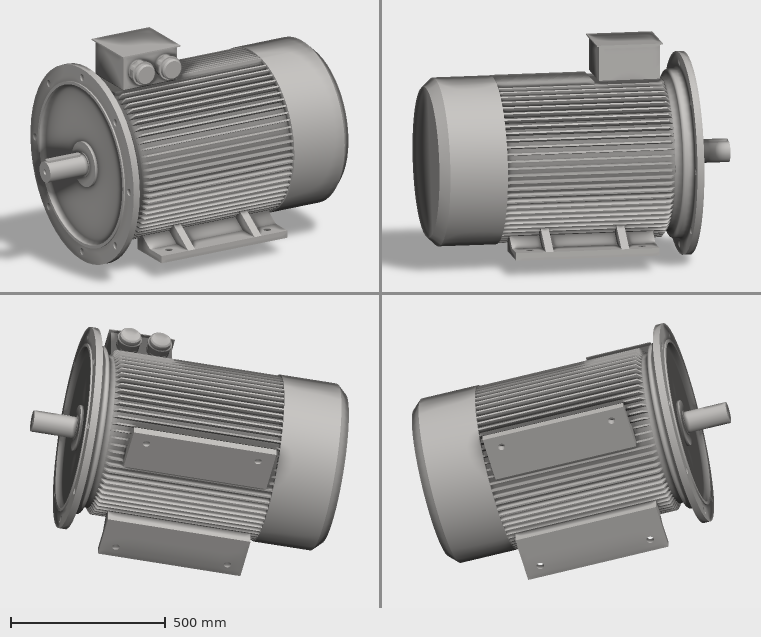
import cadquery as cq
import math

LENGTH = 995.0
OVERALL_HEIGHT = 714.0

SHAFT_DIA = 70.0
SHAFT_HOLE_DIA = 17.0
SHAFT_HOLE_DEPTH = 30.0
KEY_WIDTH = 22.0
KEY_TOP_Z = 41.0
KEY_FRONT_Y = 3.0
KEY_REAR_Y = 132.0

SPIGOT_Y = 134.0
FLANGE_FRONT_Y = 139.0
FLANGE_REAR_Y = 162.0
BELL_REAR_Y = 198.0
SPIGOT_DIA = 550.0
BELL_DIA = 550.0
BELL_REAR_FILLET = 9.0
BELL_ROOT_FILLET = 8.0
NECK_DIA = 500.0
NECK_FILLET = 12.0
FLANGE_DIA = 660.0
FLANGE_HOLE_DIA = 24.0
FLANGE_HOLE_CIRCLE_DIA = 600.0
FLANGE_HOLE_COUNT = 8
RECESS_DIA = 530.0
RECESS_DEPTH = 20.0
RECESS_FILLET = 11.0
HUB_DIA = 150.0
HUB_HEIGHT = 10.0
SHAFT_COLLAR_DIA = 80.0
SHAFT_COLLAR_HEIGHT = 3.0

CORE_DIA = 497.5
FRAME_FRONT_Y = 221.0
FIN_TIP_DIA = 539.0
FIN_WIDTH = 6.0
FIN_ROOT_DEPTH = 10.0
FIN_PITCH_ANGLE = 5
FIRST_FIN_ANGLE = 20
FIN_FRONT_BEVEL = 15.0

PAD_WIDTH = 131.0
PAD_TOP_Z = 252.0
PAD_BURIED_DEPTH = 20.0
PAD_FRONT_Y = 225.0
TOP_FIN_PITCH = 15.0
TOP_FIN_COUNT = 9
TOP_FIN_Z = 268.0
TOP_FIN_FRONT_Y = 453.0
TOP_FIN_BEVEL = 9.0

COWL_DIA = 547.0
COWL_FRONT_Y = 775.0
COWL_OVERLAP = 10.0
COWL_BEVEL_LENGTH = 31.0
COWL_BEVEL_DEPTH = 29.0
FRAME_REAR_Y = COWL_FRONT_Y + COWL_OVERLAP

BOX_CENTER_Y = 342.0
BOX_WIDTH = 179.0
BOX_LENGTH = 201.0
BOX_BOTTOM_Z = 262.0
BOX_BEVEL = 5.0
LID_WIDTH = 199.0
LID_LENGTH = 217.0
LID_TOP_Z = OVERALL_HEIGHT - FLANGE_DIA / 2
LID_THICKNESS = 4.0
BOX_NECK_WIDTH = 109.0
BOX_NECK_LENGTH = 131.0

GLAND_CENTERS_Y = (296.0, 395.0)
GLAND_Z = 325.0
GLAND_NUT_DIA = 75.0
GLAND_NUT_FLATS = 70.0
GLAND_COLLAR_END_X = 99.0
GLAND_NUT_END_X = 122.0
GLAND_WASHER_DIA = 80.0
GLAND_WASHER_END_X = 126.0
GLAND_CAP_DIA = 70.0
GLAND_CAP_END_X = 145.0
GLAND_CAP_BEVEL = 5.0

FOOT_OUTER_X = 275.0
FOOT_INNER_X = 119.0
FOOT_FRONT_Y = 277.0
FOOT_REAR_Y = 748.0
FOOT_BOTTOM_Z = -279.0
FOOT_PLATE_THICKNESS = 25.0
FOOT_WEB_X = 200.0
FOOT_SLOPE = 0.63
FOOT_HOLE_X = 234.0
FOOT_HOLE_YS = (327.0, 696.5)
FOOT_HOLE_DIA = 24.0
GUSSET_THICKNESS = 26.0
GUSSET_CENTERS_Y = (389.0, 638.0)


def cylinder_y(diameter, y_start, y_end):
    """Cylinder on the shaft axis."""
    return cq.Workplane("XZ", origin=(0, y_start, 0)).circle(diameter / 2).extrude(y_start - y_end)


def cylinder_x(diameter, x_start, x_end):
    """Cylinder on the X axis."""
    return cq.Workplane("YZ", origin=(x_start, 0, 0)).circle(diameter / 2).extrude(x_end - x_start)


def block(x_range, y_range, z_range):
    """Axis-aligned box between the given limits."""
    size = [end - start for start, end in (x_range, y_range, z_range)]
    corner = (x_range[0], y_range[0], z_range[0])
    return cq.Workplane("XY", origin=corner).box(*size, centered=False)


def centered_block(width, length, z_bottom, z_top):
    """Box centred over the terminal box position."""
    half_width = width / 2
    y_range = (BOX_CENTER_Y - length / 2, BOX_CENTER_Y + length / 2)
    return block((-half_width, half_width), y_range, (z_bottom, z_top))


def make_shaft():
    shaft = cylinder_y(SHAFT_DIA, 0, FLANGE_REAR_Y)
    shaft = shaft.cut(cylinder_y(SHAFT_HOLE_DIA, 0, SHAFT_HOLE_DEPTH))
    key = (
        cq.Workplane("XY", origin=(0, (KEY_FRONT_Y + KEY_REAR_Y) / 2, SHAFT_DIA / 4))
        .slot2D(KEY_REAR_Y - KEY_FRONT_Y, KEY_WIDTH, 90)
        .extrude(KEY_TOP_Z - SHAFT_DIA / 4)
    )
    return shaft.union(key)


def fillet_arc(outline, center, radius, start_angle, end_angle):
    """Append an arc to an outline that already ends at the arc's start (angles in degrees)."""

    def at(angle):
        turn = math.radians(angle)
        return (center[0] + radius * math.cos(turn), center[1] + radius * math.sin(turn))

    return outline.threePointArc(at((start_angle + end_angle) / 2), at(end_angle))


def make_body():
    """Round body in one turn: end shield, plain core and fan cowl."""
    bell_r = BELL_DIA / 2
    neck_r = NECK_DIA / 2
    core_r = CORE_DIA / 2
    flange_r = FLANGE_DIA / 2
    spigot_r = SPIGOT_DIA / 2
    cowl_r = COWL_DIA / 2

    outline = (
        cq.Workplane("XY")
        .moveTo(0, SPIGOT_Y)
        .lineTo(spigot_r, SPIGOT_Y)
        .lineTo(spigot_r, FLANGE_FRONT_Y)
        .lineTo(flange_r, FLANGE_FRONT_Y)
        .lineTo(flange_r, FLANGE_REAR_Y)
        .lineTo(bell_r + BELL_ROOT_FILLET, FLANGE_REAR_Y)
    )
    root_center = (bell_r + BELL_ROOT_FILLET, FLANGE_REAR_Y + BELL_ROOT_FILLET)
    outline = fillet_arc(outline, root_center, BELL_ROOT_FILLET, 270, 180)
    outline = outline.lineTo(bell_r, BELL_REAR_Y - BELL_REAR_FILLET)
    rear_center = (bell_r - BELL_REAR_FILLET, BELL_REAR_Y - BELL_REAR_FILLET)
    outline = fillet_arc(outline, rear_center, BELL_REAR_FILLET, 0, 90)
    outline = outline.lineTo(neck_r + NECK_FILLET, BELL_REAR_Y)
    neck_fillet_center = (neck_r + NECK_FILLET, BELL_REAR_Y + NECK_FILLET)
    outline = fillet_arc(outline, neck_fillet_center, NECK_FILLET, 270, 180)
    outline = (
        outline.lineTo(neck_r, FRAME_FRONT_Y)
        .lineTo(core_r, FRAME_FRONT_Y)
        .lineTo(core_r, COWL_FRONT_Y)
        .lineTo(cowl_r, COWL_FRONT_Y)
        .lineTo(cowl_r, LENGTH - COWL_BEVEL_LENGTH)
        .lineTo(cowl_r - COWL_BEVEL_DEPTH, LENGTH)
        .lineTo(0, LENGTH)
        .close()
    )
    body = outline.revolve(360, (0, 0, 0), (0, 1, 0))

    recess_floor_y = SPIGOT_Y + RECESS_DEPTH
    recess = cylinder_y(RECESS_DIA, SPIGOT_Y, recess_floor_y).faces(">Y").edges().fillet(RECESS_FILLET)
    hub_face_y = recess_floor_y - HUB_HEIGHT
    hub = cylinder_y(HUB_DIA, hub_face_y, FLANGE_REAR_Y)
    collar = cylinder_y(SHAFT_COLLAR_DIA, hub_face_y - SHAFT_COLLAR_HEIGHT, FLANGE_REAR_Y)
    body = body.cut(recess).union(hub).union(collar)

    holes = (
        cq.Workplane("XZ", origin=(0, FLANGE_FRONT_Y, 0))
        .polarArray(FLANGE_HOLE_CIRCLE_DIA / 2, 0, 360, FLANGE_HOLE_COUNT)
        .circle(FLANGE_HOLE_DIA / 2)
        .extrude(FLANGE_FRONT_Y - FLANGE_REAR_Y)
    )
    return body.cut(holes)


def make_radial_fins():
    """Fins around the frame, leaving the top clear; each is rooted a little inside the core."""
    tip_r = FIN_TIP_DIA / 2
    root_r = CORE_DIA / 2 - FIN_ROOT_DEPTH
    top_fin = (
        cq.Workplane("YZ", origin=(-FIN_WIDTH / 2, 0, 0))
        .moveTo(FRAME_FRONT_Y, root_r)
        .lineTo(FRAME_FRONT_Y, NECK_DIA / 2)
        .lineTo(FRAME_FRONT_Y + FIN_FRONT_BEVEL, tip_r)
        .lineTo(FRAME_REAR_Y, tip_r)
        .lineTo(FRAME_REAR_Y, root_r)
        .close()
        .extrude(FIN_WIDTH)
    )
    last_fin_angle = 360 - FIRST_FIN_ANGLE
    return [
        top_fin.rotate((0, 0, 0), (0, 1, 0), angle).val()
        for angle in range(FIRST_FIN_ANGLE, last_fin_angle + 1, FIN_PITCH_ANGLE)
    ]


def make_top_pad():
    pad_bottom_z = CORE_DIA / 2 - PAD_BURIED_DEPTH
    half_width = PAD_WIDTH / 2
    pad = block((-half_width, half_width), (PAD_FRONT_Y, FRAME_REAR_Y), (pad_bottom_z, PAD_TOP_Z))
    for index in range(TOP_FIN_COUNT):
        x = (index - (TOP_FIN_COUNT - 1) / 2) * TOP_FIN_PITCH
        fin = block(
            (x - FIN_WIDTH / 2, x + FIN_WIDTH / 2),
            (TOP_FIN_FRONT_Y, COWL_FRONT_Y),
            (pad_bottom_z, TOP_FIN_Z),
        )
        pad = pad.union(fin.edges("<Y and >Z").chamfer(TOP_FIN_BEVEL))
    return pad


def make_terminal_box():
    box = centered_block(BOX_WIDTH, BOX_LENGTH, BOX_BOTTOM_Z, LID_TOP_Z)
    box = box.faces("<Z").edges().chamfer(BOX_BEVEL)
    lid = centered_block(LID_WIDTH, LID_LENGTH, LID_TOP_Z - LID_THICKNESS, LID_TOP_Z)
    neck = centered_block(BOX_NECK_WIDTH, BOX_NECK_LENGTH, PAD_TOP_Z, BOX_BOTTOM_Z)
    return box.union(lid).union(neck)


def make_gland():
    """Cable gland on the X axis, starting at the side of the terminal box."""
    side_x = BOX_WIDTH / 2
    collar = cylinder_x(GLAND_NUT_DIA, side_x, GLAND_COLLAR_END_X)
    hexagon = (
        cq.Workplane("YZ", origin=(GLAND_COLLAR_END_X, 0, 0))
        .polygon(6, GLAND_NUT_FLATS / math.cos(math.radians(30)))
        .extrude(GLAND_NUT_END_X - GLAND_COLLAR_END_X)
        .rotate((0, 0, 0), (1, 0, 0), 30)
    )
    nut = hexagon.intersect(cylinder_x(GLAND_NUT_DIA, GLAND_COLLAR_END_X, GLAND_NUT_END_X))
    washer = cylinder_x(GLAND_WASHER_DIA, GLAND_NUT_END_X, GLAND_WASHER_END_X)
    cap = cylinder_x(GLAND_CAP_DIA, GLAND_WASHER_END_X, GLAND_CAP_END_X)
    cap = cap.faces(">X").edges().chamfer(GLAND_CAP_BEVEL)
    return collar.union(nut).union(washer).union(cap)


def make_foot():
    """Foot on the +X side: plate, sloping web up to the frame, gussets and bolt holes."""
    plate_top_z = FOOT_BOTTOM_Z + FOOT_PLATE_THICKNESS

    def sloped_wedge(slope_start_x, y_start, y_end):
        """Wedge on the plate, rising from slope_start_x towards the frame."""
        inner_z = plate_top_z + FOOT_SLOPE * (slope_start_x - FOOT_INNER_X)
        return (
            cq.Workplane("XZ", origin=(0, y_start, 0))
            .moveTo(FOOT_INNER_X, plate_top_z)
            .lineTo(slope_start_x, plate_top_z)
            .lineTo(FOOT_INNER_X, inner_z)
            .close()
            .extrude(y_start - y_end)
        )

    foot = block((FOOT_INNER_X, FOOT_OUTER_X), (FOOT_FRONT_Y, FOOT_REAR_Y), (FOOT_BOTTOM_Z, plate_top_z))
    foot = foot.union(sloped_wedge(FOOT_WEB_X, FOOT_FRONT_Y, FOOT_REAR_Y))
    for y in GUSSET_CENTERS_Y:
        half = GUSSET_THICKNESS / 2
        foot = foot.union(sloped_wedge(FOOT_OUTER_X, y - half, y + half))
    holes = (
        cq.Workplane("XY", origin=(0, 0, FOOT_BOTTOM_Z))
        .pushPoints([(FOOT_HOLE_X, y) for y in FOOT_HOLE_YS])
        .circle(FOOT_HOLE_DIA / 2)
        .extrude(FOOT_PLATE_THICKNESS)
    )
    return foot.cut(holes)


foot = make_foot()
gland = make_gland()

result = cq.Workplane(make_body().val().fuse(*make_radial_fins()))
result = result.union(make_top_pad()).union(make_shaft())
result = result.union(foot).union(foot.mirror("YZ"))
result = result.union(make_terminal_box())
for center_y in GLAND_CENTERS_Y:
    result = result.union(gland.translate((0, center_y, GLAND_Z)))